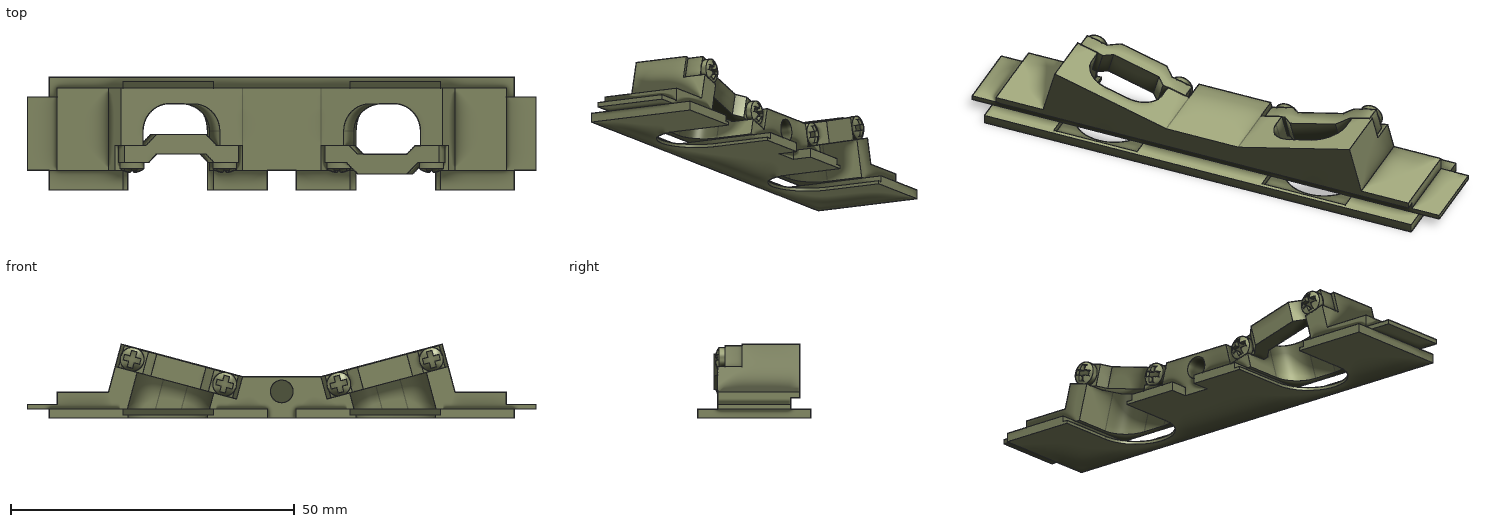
import cadquery as cq
import math

plate_length = 82.0
plate_depth = 19.95
plate_thickness = 1.6
plate_front = -plate_depth / 2
plate_back = plate_depth / 2
notch_width = 5.1

front_lip = 3.5
body_depth = 14.5
body_front = plate_front + front_lip
body_back = body_front + body_depth
shoulder_half = 39.6
shoulder_height = 4.6
undercut_front = -body_front
undercut_top = 3.55

wing_span = 89.72
wing_depth = undercut_front - body_front
wing_thickness = 0.8

tilt_deg = 15.0
tilt = math.radians(tilt_deg)
block_length = 22.15
peak_half = 28.3
peak_height = 13.05
saddle_half = peak_half - block_length * math.cos(tilt)
saddle_height = peak_height - block_length * math.sin(tilt)
flank_foot_half = peak_half + (peak_height - shoulder_height) * math.tan(tilt)

seat_centre = 11.0
opening_width = 14.0
opening_radius = 4.8
opening_back = 5.25
plate_opening_x = 20.12
plate_opening_width = 14.0
plate_opening_centre_y = opening_back - opening_radius
relief_x = 20.0
relief_width = 16.0
relief_floor = 0.55
relief_back_wall = 0.8
relief_back = plate_back - relief_back_wall

ledge_depth = 4.1
ledge_width = 4.35
ledge_back = body_front + ledge_width

bridge_half = 10.4
bridge_top_gap = 0.1
pad_thickness = 3.0
pad_front = ledge_back - pad_thickness
span_half = 4.5
span_thickness = 3.5
inner_step = 1.5
outer_step = inner_step + span_thickness - pad_thickness

screw_offset = 8.45
screw_drop = 2.1
head_diameter = 4.2
head_rim_height = 1.05
dome_height = 0.75
cross_length = 3.0
cross_arm_width = 1.0
cross_floor = 0.7

centre_hole_diameter = 4.0
centre_hole_height = 4.7
centre_hole_depth = 10.0

overcut = 1.0


def box(x0, x1, y0, y1, z0, z1):
    """Box between two opposite corners."""
    size = (x1 - x0, y1 - y0, z1 - z0)
    return cq.Workplane("XY").box(*size, centered=False).translate((x0, y0, z0))


def on_slope(shape, side):
    """Move a shape from slope coordinates onto the block at side -1 or +1.

    Slope coordinates start at the seat centre: X along the slope towards +X,
    Z square to the slope and zero on its surface.
    """
    seat_x = side * (peak_half - seat_centre * math.cos(tilt))
    seat_z = peak_height - seat_centre * math.sin(tilt)
    turned = shape.rotate((0, 0, 0), (0, 1, 0), -side * tilt_deg)
    return turned.translate((seat_x, 0, seat_z))


def block_opening():
    """Slot with rounded back corners, reaching from above the slope down past the plate."""
    half = opening_width / 2
    slot = box(-half, half, plate_front - overcut, opening_back, -2 * peak_height, overcut)
    return slot.edges("|Z and >Y").fillet(opening_radius)


def plate_opening():
    """Slot with a half-round back end, open past the plate's front edge."""
    radius = plate_opening_width / 2
    slot = box(-radius, radius, plate_front - overcut, plate_opening_centre_y,
               -overcut, plate_thickness)
    end = cq.Workplane("XY", origin=(0, plate_opening_centre_y, -overcut)).circle(radius)
    return slot.union(end.extrude(plate_thickness + overcut))


def make_plate():
    half = plate_length / 2
    plate = box(-half, half, plate_front, plate_back, 0, plate_thickness)
    notch = box(-notch_width / 2, notch_width / 2, plate_front - overcut, body_front,
                -overcut, plate_thickness + overcut)
    plate = plate.cut(notch)
    for side in (-1, 1):
        centre = side * relief_x
        relief = box(centre - relief_width / 2, centre + relief_width / 2,
                     plate_front - overcut, relief_back, relief_floor, plate_thickness)
        through = plate_opening().translate((side * plate_opening_x, 0, 0))
        plate = plate.cut(relief).cut(through)
    return plate


def make_body():
    right_outline = [
        (saddle_half, saddle_height),
        (peak_half, peak_height),
        (flank_foot_half, shoulder_height),
        (shoulder_half, shoulder_height),
        (shoulder_half, plate_thickness),
    ]
    left_outline = [(-x, z) for x, z in reversed(right_outline)]
    outline = cq.Workplane("XZ", origin=(0, body_back, 0)).polyline(left_outline + right_outline)
    body = outline.close().extrude(body_depth)
    undercut = box(-shoulder_half - overcut, shoulder_half + overcut,
                   undercut_front, body_back + overcut, plate_thickness, undercut_top)
    wings = box(-wing_span / 2, wing_span / 2, body_front, body_front + wing_depth,
                plate_thickness, plate_thickness + wing_thickness)
    return body.cut(undercut).union(wings)


def cut_block(body, side):
    """Cut the tilted opening and the bridge ledge into one block."""
    through = on_slope(block_opening(), side)
    above_plate = box(-wing_span, wing_span, -plate_depth, plate_depth,
                      plate_thickness, 2 * peak_height)
    to_peak = side * seat_centre
    to_saddle = -side * (block_length - seat_centre)
    ledge = box(min(to_peak, to_saddle), max(to_peak, to_saddle),
                body_front - overcut, ledge_back, -ledge_depth, overcut)
    return body.cut(through.intersect(above_plate)).cut(on_slope(ledge, side))


def make_bridge(bow):
    """Bridge in slope coordinates; bow +1 arches backward, -1 forward."""
    hollow, crown = (pad_front, ledge_back) if bow > 0 else (ledge_back, pad_front)
    right_half = [
        (span_half, hollow + bow * inner_step),
        (span_half + inner_step, hollow),
        (bridge_half, hollow),
        (bridge_half, crown),
        (span_half + outer_step, crown),
        (span_half, crown + bow * outer_step),
    ]
    left_half = [(-x, y) for x, y in reversed(right_half)]
    outline = cq.Workplane("XY", origin=(0, 0, -ledge_depth)).polyline(right_half + left_half).close()
    return outline.extrude(ledge_depth - bridge_top_gap)


def make_screw_head():
    """Domed screw head with a cross recess, its seat at Y = 0, facing -Y."""
    radius = head_diameter / 2
    top = head_rim_height + dome_height
    dome_radius = (radius ** 2 + dome_height ** 2) / (2 * dome_height)
    ball = cq.Workplane("XY").sphere(dome_radius).translate((0, dome_radius - top, 0))
    head = cq.Workplane("XZ").circle(radius).extrude(top).intersect(ball)
    floor_plane = cq.Workplane("XZ", origin=(0, -cross_floor, 0))
    for length, height in ((cross_length, cross_arm_width), (cross_arm_width, cross_length)):
        head = head.cut(floor_plane.rect(length, height).extrude(top))
    return head


def make_clamp(side, bow):
    clamp = make_bridge(bow)
    for end in (-1, 1):
        place = (end * screw_offset, pad_front, -screw_drop)
        clamp = clamp.union(make_screw_head().translate(place))
    return on_slope(clamp, side)


def cut_centre_hole(body):
    face = cq.Workplane("XZ", origin=(0, body_front, centre_hole_height))
    return body.cut(face.circle(centre_hole_diameter / 2).extrude(-centre_hole_depth))


bar = cut_centre_hole(make_body())
for block_side in (-1, 1):
    bar = cut_block(bar, block_side)

result = bar.union(make_plate())
for block_side, block_bow in ((-1, 1), (1, -1)):
    result = result.union(make_clamp(block_side, block_bow))